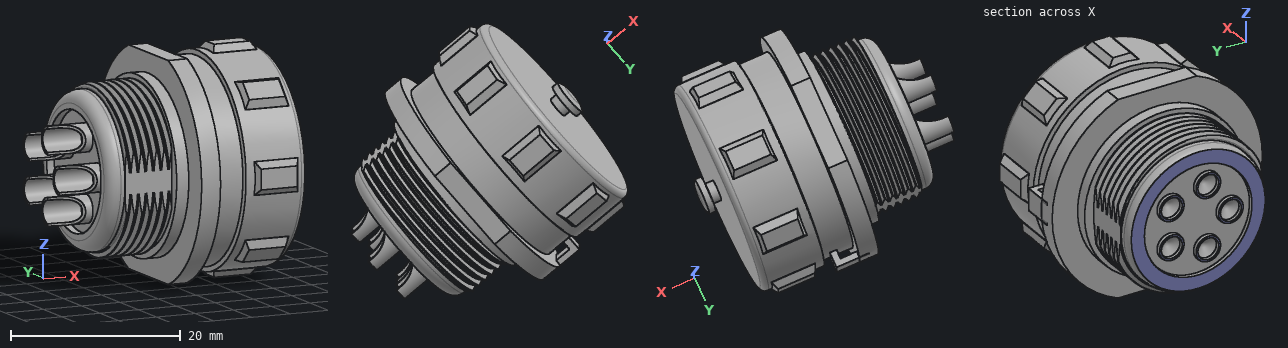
import cadquery as cq
import math


cup_length = 4.05
nose_length = 2.05
thread_length = 6.1
collar_length = 1.58
flange_thickness = 2.47
neck_length = 3.94
cap_length = 7.98
stud_length = 1.13
head_length = 1.17

nose_x = cup_length
thread_x = nose_x + nose_length
collar_x = thread_x + thread_length
flange_x = collar_x + collar_length
neck_x = flange_x + flange_thickness
cap_x = neck_x + neck_length
stud_x = cap_x + cap_length
head_x = stud_x + stud_length

nose_radius = 9.65
nose_fillet = 1.5
recess_radius = 7.38
recess_depth = 1.0
collar_radius = 11.0
flange_radius = 14.5
flange_flat_height = 13.45
neck_radius = 12.6
cap_radius = 13.22
cap_fillet = 0.75
stud_radius = 1.27
head_radius = 2.24
head_rim_length = 0.83
head_dome_mid_drop = 0.5
head_dome_mid_fraction = 0.7
gap_width = 0.12
gap_depth = 0.4

pitch = 1.0
thread_crest_radius = 10.4
thread_root_radius = 9.79
thread_flat_offset = 9.7
root_land = 0.2
crest_land = 0.12
groove_phase = 0.06
lead_in_radius = 9.87
lead_in_length = 0.15
groove_start_x = thread_x - pitch - groove_phase
groove_clearance = 0.1
bar_margin = 4 * pitch

cup_count = 5
cup_circle_radius = 4.5
cup_radius = 1.73
cup_bore_radius = 1.4
cup_bore_depth = 5.0
cup_tip_angle = 118.0
cup_cut_radius = 4.1
cup_cut_straight = 0.75
cup_embed = 1.0

rib_count = 8
rib_crest_height = 13.995
rib_crest_length = 4.75
rib_crest_width = 2.5
rib_length = 5.65
rib_width = 4.04
rib_center_offset = 3.96
rib_center_x = cap_x + rib_center_offset
rib_foot_height = 13.1
rib_root_height = 12.0

hook_reach = 2.95
hook_thickness = 0.8
hook_leg = 0.88
hook_width = 3.0
hook_inset = 0.05
hook_outer_y = flange_radius - hook_inset


def cylinder_x(start, length, radius):
    """Solid cylinder along X."""
    return cq.Workplane("YZ", origin=(start, 0, 0)).circle(radius).extrude(length)


def box_x(start, length, y_size, z_size):
    """Box centred on the X axis, starting at the given X."""
    return cq.Workplane("YZ", origin=(start, 0, 0)).rect(y_size, z_size).extrude(length)


def make_nose():
    nose = cylinder_x(nose_x, nose_length, nose_radius)
    nose = nose.faces("<X").edges().fillet(nose_fillet)
    return nose.cut(cylinder_x(nose_x, recess_depth, recess_radius))


def make_thread_envelope():
    """Thread blank with a steep lead-in cone at the wire end."""
    return (
        cq.Workplane("XZ")
        .moveTo(thread_x, 0)
        .lineTo(thread_x, lead_in_radius)
        .lineTo(thread_x + lead_in_length, thread_crest_radius)
        .lineTo(collar_x, thread_crest_radius)
        .lineTo(collar_x, 0)
        .close()
        .revolve(360, (0, 0, 0), (1, 0, 0))
    )


def make_thread():
    """Single-start right-hand thread with two flats, cut on a longer bar and trimmed to length."""
    groove_outer_radius = thread_crest_radius + groove_clearance
    flank_run = (pitch - root_land - crest_land) / 2
    flank_slope = flank_run / (thread_crest_radius - thread_root_radius)
    root_half = root_land / 2
    outer_half = root_half + flank_slope * (groove_outer_radius - thread_root_radius)
    helix = cq.Wire.makeHelix(pitch, thread_length + 2 * pitch, thread_root_radius)
    groove = (
        cq.Workplane("XZ")
        .moveTo(thread_root_radius, -root_half)
        .lineTo(thread_root_radius, root_half)
        .lineTo(groove_outer_radius, outer_half)
        .lineTo(groove_outer_radius, -outer_half)
        .close()
        .sweep(cq.Workplane(helix), isFrenet=True)
        .rotate((0, 0, 0), (0, 1, 0), 90)
        .translate((groove_start_x, 0, 0))
    )
    bar_x = thread_x - bar_margin
    bar = cylinder_x(bar_x, thread_length + 2 * bar_margin, thread_crest_radius).cut(groove)
    flats = box_x(thread_x, thread_length, 2 * thread_flat_offset, 2 * flange_radius)
    return bar.intersect(make_thread_envelope()).intersect(flats)


def make_flange():
    flange = cylinder_x(flange_x, flange_thickness, flange_radius)
    flats = box_x(flange_x, flange_thickness, 2 * flange_radius, 2 * flange_flat_height)
    return flange.intersect(flats)


def make_gap():
    gap_x = cap_x - gap_width
    outer = cylinder_x(gap_x, gap_width, neck_radius)
    return outer.cut(cylinder_x(gap_x, gap_width, neck_radius - gap_depth))


def make_hook():
    """L-shaped keeper reaching from the flange and turning down to the neck."""
    hook_end = neck_x + hook_reach
    hook_start = flange_x + flange_thickness / 2
    leg_start = hook_end - hook_leg
    arm_inner_y = hook_outer_y - hook_thickness
    hook_root_y = neck_radius - hook_thickness
    return (
        cq.Workplane("XY", origin=(0, 0, -hook_width / 2))
        .moveTo(hook_start, hook_outer_y)
        .lineTo(hook_end, hook_outer_y)
        .lineTo(hook_end, hook_root_y)
        .lineTo(leg_start, hook_root_y)
        .lineTo(leg_start, arm_inner_y)
        .lineTo(hook_start, arm_inner_y)
        .close()
        .extrude(hook_width)
    )


def make_rib(angle):
    """Grip rib with all four sides sloping up to a flat crest."""
    slope_height = rib_crest_height - rib_foot_height
    foot = (
        cq.Workplane("XY", origin=(rib_center_x, 0, rib_root_height))
        .rect(rib_length, rib_width)
        .extrude(rib_foot_height - rib_root_height)
    )
    crown = (
        cq.Workplane("XY", origin=(rib_center_x, 0, rib_foot_height))
        .rect(rib_length, rib_width)
        .workplane(offset=slope_height)
        .rect(rib_crest_length, rib_crest_width)
        .loft(ruled=True)
    )
    return foot.union(crown).rotate((0, 0, 0), (1, 0, 0), angle)


def make_cap():
    cap = cylinder_x(cap_x, cap_length, cap_radius)
    cap = cap.faces(">X").edges().fillet(cap_fillet)
    for index in range(rib_count):
        cap = cap.union(make_rib(index * 360 / rib_count))
    return cap


def make_stud():
    """Stud with a button head whose outer edge is domed."""
    dome_x = head_x + head_rim_length
    end_x = head_x + head_length
    mid_x = dome_x + head_dome_mid_fraction * (end_x - dome_x)
    profile = (
        cq.Workplane("XZ")
        .moveTo(stud_x - cap_fillet, 0)
        .lineTo(stud_x - cap_fillet, stud_radius)
        .lineTo(head_x, stud_radius)
        .lineTo(head_x, head_radius)
        .lineTo(dome_x, head_radius)
        .threePointArc((mid_x, head_radius - head_dome_mid_drop), (end_x, stud_radius))
        .lineTo(end_x, 0)
        .close()
    )
    return profile.revolve(360, (0, 0, 0), (1, 0, 0))


def make_cup():
    """Cup scooped open towards -Y and its drill tool, both on the X axis."""
    floor_x = nose_x + recess_depth
    tip_depth = cup_bore_radius / math.tan(math.radians(cup_tip_angle / 2))
    drill = (
        cq.Workplane("XZ")
        .lineTo(0, cup_bore_radius)
        .lineTo(cup_bore_depth, cup_bore_radius)
        .lineTo(cup_bore_depth + tip_depth, 0)
        .close()
        .revolve(360, (0, 0, 0), (1, 0, 0))
    )
    scoop = (
        cq.Workplane("XY", origin=(cup_cut_straight, -cup_cut_radius, -cup_radius))
        .circle(cup_cut_radius)
        .extrude(2 * cup_radius)
    )
    mouth = (
        cq.Workplane("XY")
        .box(cup_cut_straight, cup_cut_radius, 2 * cup_radius, centered=(False, False, True))
        .translate((0, -cup_cut_radius, 0))
    )
    blank = cylinder_x(0, floor_x + cup_embed, cup_radius).cut(scoop).cut(mouth)
    return blank, drill


body = make_nose().union(make_thread())
body = body.union(cylinder_x(collar_x, collar_length, collar_radius))
body = body.union(make_flange())
body = body.union(cylinder_x(neck_x, neck_length, neck_radius))
body = body.union(make_hook()).union(make_cap()).union(make_stud())

body = body.cut(make_gap())

cup_blank, cup_drill = make_cup()
for index in range(cup_count):
    cup_angle = math.radians(index * 360 / cup_count)
    place = (0, -cup_circle_radius * math.cos(cup_angle), cup_circle_radius * math.sin(cup_angle))
    body = body.union(cup_blank.translate(place)).cut(cup_drill.translate(place))

result = body